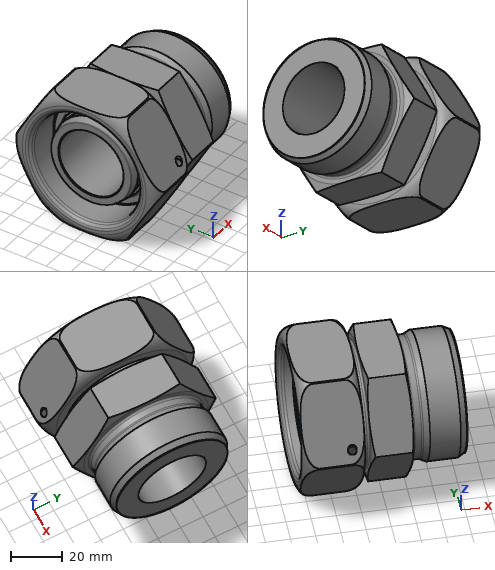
import cadquery as cq
import math

HEX_HALF_ANGLE = math.radians(30)

NUT_LENGTH = 25.0
NUT_ACROSS_FLATS = 60
NUT_CORNER_RADIUS = 34.5
NUT_EDGE_ROUND = 6.2
NUT_FACE_RADIUS = 29
MOUTH_CHAMFER = 1.9
MOUTH_ROUND = 1.5
NUT_BORE_RADIUS = 50.0 / 2
NUT_REAR_BORE_RADIUS = 49.3 / 2

BODY_END = 66.5
BORE_RADIUS = 30.0 / 2
BORE_CHAMFER = 0.35
NECK_RADIUS = 49.3 / 2
NOSE_START = 5.0
NOSE_RADIUS = 18.7
NOSE_EDGE_ROUND = 0.3
NOSE_HALF_ANGLE = math.radians(12)
SEAL_GROOVE_START = 9.1
SEAL_GROOVE_END = 12.7
SEAL_RADIUS = 38.35 / 2
SEAL_HEIGHT = 1.9
SEAL_GROOVE_RADIUS = SEAL_RADIUS - SEAL_HEIGHT
SHOULDER_X = 15.9
SHOULDER_RADIUS = 48.9 / 2
SHOULDER_EDGE = 0.3
NOSE_FILLET = 0.8

HEX_START = 27.45
HEX_END = 44.6
HEX_ACROSS_FLATS = 55.0
HEX_CHAMFER_ANGLE = math.radians(15)
NECK_FILLET = 0.9

THREAD_RADIUS = 52.0 / 2
RELIEF_END = 48.5
RELIEF_FILLET = 1.7
THREAD_START = 51.35
THREAD_CHAMFER_START = 63.55
THREAD_CHAMFER_END = 66.1
THREAD_TIP_RADIUS = 24.6

HOLE_X = 19.45
HOLE_Z = 5.3
HOLE_DIAMETER = 3.3
HOLE_MOUTH_DIAMETER = 3.5
HOLE_MOUTH_DEPTH = 1.05
HOLE_OVERRUN = 6.9


def hexagon(start, length, across_flats):
    """Hexagonal bar along X with two corners on the Y axis."""
    corner_diameter = across_flats / math.cos(HEX_HALF_ANGLE)
    return cq.Workplane("YZ").workplane(offset=start).polygon(6, corner_diameter).extrude(length)


def turn(profile):
    """Revolve a closed XY profile about the X axis."""
    return profile.close().revolve(360, (0, 0, 0), (1, 0, 0))


class CircleAt(cq.Selector):
    """Picks circular edges of one radius around the X axis at one X position."""

    TOLERANCE = 0.001

    def __init__(self, x, radius):
        self.x = x
        self.radius = radius

    def filter(self, edges):
        return [edge for edge in edges if edge.geomType() == "CIRCLE" and self.matches(edge)]

    def matches(self, edge):
        centre = edge.arcCenter()
        off_axis = math.hypot(centre.y, centre.z)
        misfit = max(off_axis, abs(centre.x - self.x), abs(edge.radius() - self.radius))
        return misfit < self.TOLERANCE


def stepped_hole():
    """Hole entering the upper -Y face of the nut and ending at its tangent point on the rear bore."""
    entry_y = -(NUT_ACROSS_FLATS / 2 - HOLE_Z * math.sin(HEX_HALF_ANGLE)) / math.cos(HEX_HALF_ANGLE)
    entry_distance = math.hypot(entry_y, HOLE_Z)
    tangent_length = math.sqrt(entry_distance**2 - NUT_REAR_BORE_RADIUS**2)
    inward_angle = math.atan2(-HOLE_Z, -entry_y)
    angle = inward_angle - math.asin(NUT_REAR_BORE_RADIUS / entry_distance)
    direction = cq.Vector(0, math.cos(angle), math.sin(angle))
    outside = cq.Vector(HOLE_X, entry_y, HOLE_Z) - direction * HOLE_OVERRUN
    hole = cq.Solid.makeCylinder(HOLE_DIAMETER / 2, HOLE_OVERRUN + tangent_length, outside, direction)
    mouth_length = HOLE_OVERRUN + HOLE_MOUTH_DEPTH
    mouth = cq.Solid.makeCylinder(HOLE_MOUTH_DIAMETER / 2, mouth_length, outside, direction)
    return cq.Workplane(hole.fuse(mouth))


def nut_envelope():
    """Revolved blank whose end corners are arcs tangent to the rim and cut off at the end faces."""
    arc_centre_radius = NUT_CORNER_RADIUS - NUT_EDGE_ROUND
    start_angle = math.asin((NUT_FACE_RADIUS - arc_centre_radius) / NUT_EDGE_ROUND)
    arc_depth = NUT_EDGE_ROUND * math.cos(start_angle)
    mid_angle = (start_angle + math.pi / 2) / 2
    mid_x = arc_depth - NUT_EDGE_ROUND * math.cos(mid_angle)
    mid_radius = arc_centre_radius + NUT_EDGE_ROUND * math.sin(mid_angle)
    return turn(
        cq.Workplane("XY")
        .lineTo(0, NUT_FACE_RADIUS)
        .threePointArc((mid_x, mid_radius), (arc_depth, NUT_CORNER_RADIUS))
        .lineTo(NUT_LENGTH - arc_depth, NUT_CORNER_RADIUS)
        .threePointArc((NUT_LENGTH - mid_x, mid_radius), (NUT_LENGTH, NUT_FACE_RADIUS))
        .lineTo(NUT_LENGTH, 0)
    )


def make_nut():
    nut = hexagon(0, NUT_LENGTH, NUT_ACROSS_FLATS).intersect(nut_envelope())
    bore = turn(
        cq.Workplane("XY")
        .lineTo(0, NUT_BORE_RADIUS + MOUTH_CHAMFER)
        .lineTo(MOUTH_CHAMFER, NUT_BORE_RADIUS)
        .lineTo(SHOULDER_X, NUT_BORE_RADIUS)
        .lineTo(SHOULDER_X, NUT_REAR_BORE_RADIUS)
        .lineTo(NUT_LENGTH, NUT_REAR_BORE_RADIUS)
        .lineTo(NUT_LENGTH, 0)
    )
    nut = nut.cut(bore)
    nut = nut.edges(CircleAt(0, NUT_BORE_RADIUS + MOUTH_CHAMFER)).fillet(MOUTH_ROUND)
    nut = nut.edges(CircleAt(MOUTH_CHAMFER, NUT_BORE_RADIUS)).fillet(MOUTH_ROUND)
    return nut.cut(stepped_hole())


def nose_radius(x):
    return NOSE_RADIUS + (x - NOSE_START) * math.tan(NOSE_HALF_ANGLE)


def make_turned_body():
    """Coned nose, neck and threaded end, before the hexagon and bore."""
    return turn(
        cq.Workplane("XY")
        .moveTo(NOSE_START, 0)
        .lineTo(NOSE_START, NOSE_RADIUS)
        .lineTo(SEAL_GROOVE_START, nose_radius(SEAL_GROOVE_START))
        .lineTo(SEAL_GROOVE_START, SEAL_GROOVE_RADIUS)
        .lineTo(SEAL_GROOVE_END, SEAL_GROOVE_RADIUS)
        .lineTo(SEAL_GROOVE_END, nose_radius(SEAL_GROOVE_END))
        .lineTo(SHOULDER_X, nose_radius(SHOULDER_X))
        .lineTo(SHOULDER_X, SHOULDER_RADIUS)
        .lineTo(HEX_START, SHOULDER_RADIUS)
        .lineTo(HEX_START, NECK_RADIUS)
        .lineTo(RELIEF_END, NECK_RADIUS)
        .lineTo(THREAD_START, THREAD_RADIUS)
        .lineTo(THREAD_CHAMFER_START, THREAD_RADIUS)
        .lineTo(THREAD_CHAMFER_END, THREAD_TIP_RADIUS)
        .lineTo(BODY_END, THREAD_TIP_RADIUS)
        .lineTo(BODY_END, 0)
    )


def body_hexagon():
    """Hexagon with both ends chamfered down to its inscribed circle."""
    flat = HEX_ACROSS_FLATS / 2
    corner = flat / math.cos(HEX_HALF_ANGLE)
    run = (corner - flat) * math.tan(HEX_CHAMFER_ANGLE)
    envelope = turn(
        cq.Workplane("XY")
        .moveTo(HEX_START, 0)
        .lineTo(HEX_START, flat)
        .lineTo(HEX_START + run, corner)
        .lineTo(HEX_END - run, corner)
        .lineTo(HEX_END, flat)
        .lineTo(HEX_END, 0)
    )
    return hexagon(HEX_START, HEX_END - HEX_START, HEX_ACROSS_FLATS).intersect(envelope)


def make_body():
    bore = cq.Workplane("YZ").workplane(offset=NOSE_START).circle(BORE_RADIUS).extrude(BODY_END)
    body = make_turned_body().union(body_hexagon()).cut(bore)
    body = body.edges(CircleAt(NOSE_START, BORE_RADIUS)).chamfer(BORE_CHAMFER)
    body = body.edges(CircleAt(NOSE_START, NOSE_RADIUS)).fillet(NOSE_EDGE_ROUND)
    body = body.edges(CircleAt(SHOULDER_X, nose_radius(SHOULDER_X))).fillet(NOSE_FILLET)
    body = body.edges(CircleAt(SHOULDER_X, SHOULDER_RADIUS)).fillet(SHOULDER_EDGE)
    body = body.edges(CircleAt(HEX_START, SHOULDER_RADIUS)).fillet(NECK_FILLET)
    body = body.edges(CircleAt(HEX_END, NECK_RADIUS)).fillet(NECK_FILLET)
    body = body.edges(CircleAt(RELIEF_END, NECK_RADIUS)).fillet(RELIEF_FILLET)
    return body


def make_seal():
    """Ring filling the floor of the groove in the nose."""
    return (
        cq.Workplane("YZ")
        .workplane(offset=SEAL_GROOVE_START)
        .circle(SEAL_RADIUS)
        .circle(SEAL_GROOVE_RADIUS)
        .extrude(SEAL_GROOVE_END - SEAL_GROOVE_START)
    )


nut = make_nut()
body = make_body()
seal = make_seal()
result = cq.Compound.makeCompound([nut.val(), body.val(), seal.val()])